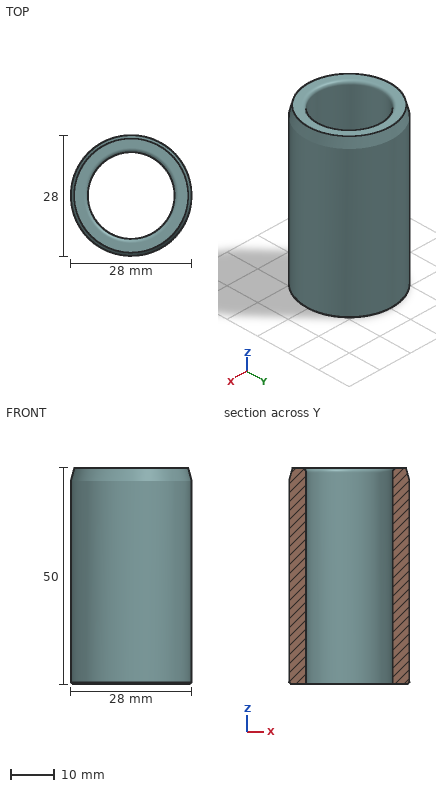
import cadquery as cq
import math

length = 50.0
outer_diameter = 28.0
bore_diameter = 20.0

taper_height = 3.0
taper_angle = 15.0

bottom_chamfer = 0.5
bore_mouth_radius = 1.0

outer_radius = outer_diameter / 2
bore_radius = bore_diameter / 2
taper_inset = taper_height * math.tan(math.radians(taper_angle))

sleeve = cq.Workplane("XY").circle(outer_radius).circle(bore_radius).extrude(length)

sleeve = sleeve.faces(">Z").edges(cq.selectors.RadiusNthSelector(0)).fillet(bore_mouth_radius)

sleeve = sleeve.faces(">Z").edges(cq.selectors.RadiusNthSelector(-1)).chamfer(taper_inset, taper_height)
sleeve = sleeve.faces("<Z").edges(cq.selectors.RadiusNthSelector(-1)).chamfer(bottom_chamfer)

result = sleeve